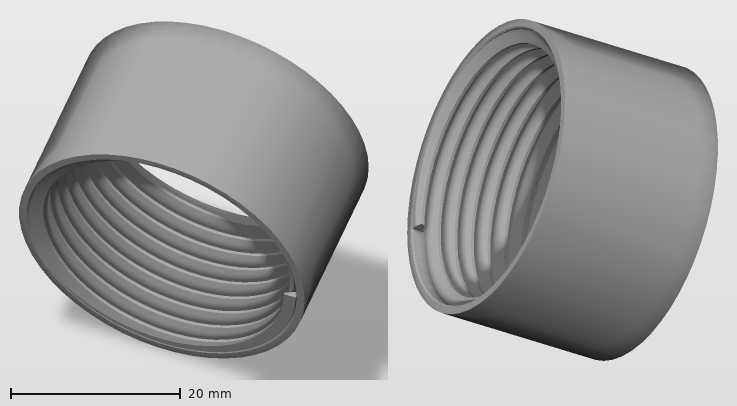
import cadquery as cq

LENGTH = 21.02
OUTER_DIAMETER = 36.05
BORE_DIAMETER = 33.9
MOUTH_CHAMFER = 0.18
THREAD_ROOT_DIAMETER = 33.8
THREAD_CREST_DIAMETER = 30.8
PITCH = 2.27
TURNS = 9

CREST_WIDTH = PITCH / 6
ROOT_WIDTH = PITCH - CREST_WIDTH
ROOT_RADIUS = THREAD_ROOT_DIAMETER / 2
CREST_RADIUS = THREAD_CREST_DIAMETER / 2


def along_y(body):
    """Turn a body built along +Z about the origin so it runs along +Y."""
    return body.rotate((0, 0, 0), (1, 0, 0), -90).translate((0, -LENGTH / 2, 0))


def make_sleeve():
    """Tube that surrounds the thread, with a small chamfer at each mouth of its bore."""
    tube = cq.Workplane("XY").circle(OUTER_DIAMETER / 2).circle(BORE_DIAMETER / 2).extrude(LENGTH)
    bore_edges = cq.selectors.RadiusNthSelector(0)
    return along_y(tube.edges("%CIRCLE").edges(bore_edges).chamfer(MOUTH_CHAMFER))


def make_thread():
    """Right-hand internal thread, centred on the -Y end plane at its start and trimmed flush to the sleeve."""
    helix = cq.Wire.makeHelix(PITCH, TURNS * PITCH, ROOT_RADIUS)
    ridge = (
        cq.Workplane("XZ")
        .moveTo(ROOT_RADIUS, -ROOT_WIDTH / 2)
        .lineTo(CREST_RADIUS, -CREST_WIDTH / 2)
        .lineTo(CREST_RADIUS, CREST_WIDTH / 2)
        .lineTo(ROOT_RADIUS, ROOT_WIDTH / 2)
        .close()
        .sweep(cq.Workplane(helix), isFrenet=True)
    )
    trim = cq.Workplane("XY").rect(OUTER_DIAMETER, OUTER_DIAMETER).extrude(LENGTH)
    return along_y(ridge.intersect(trim))


sleeve = make_sleeve()
thread = make_thread()

result = cq.Compound.makeCompound([sleeve.val(), *thread.solids().vals()])